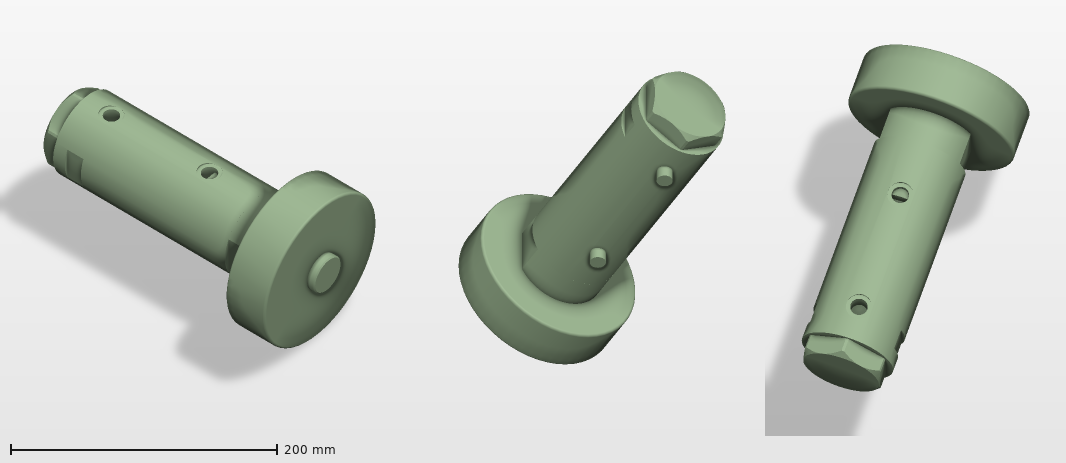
import cadquery as cq
import math


SLEEVE_RADIUS = 36.4
SLEEVE_START = 16.2
SLEEVE_END = 182.0
SLEEVE_FLAT_START = 26.0
SLEEVE_FLAT_END = 41.7
SLEEVE_FLAT_OFFSET = 33.3

FRONT_PORT_X = 41.5
REAR_PORT_X = 137.0
PORT_RADIUS = 6.5
SPOTFACE_RADIUS = 9.8
SPOTFACE_HEIGHT = math.sqrt(SLEEVE_RADIUS**2 - SPOTFACE_RADIUS**2)

SHAFT_RADIUS = 31.3
SHANK_RADIUS = 22.7
NECK_FLAT_OFFSET = 31.8
DISC_START = 207.3
DISC_END = 245.5
DISC_DIAMETER = 132.0
DISC_FILLET = 2.0
BOSS_RADIUS = 16.0
BOSS_END = 252.5
BOSS_CHAMFER = 1.0

HEAD_SIDES = 6
HEAD_ACROSS_FLATS = 60.0
HEAD_CORNER_RADIUS = 34.0
HEAD_LENGTH = 14.6

PIN_POSITIONS = [40.5, 146.0]
PIN_RADIUS = 6.0
PIN_BOTTOM = -45.5
PIN_TOP = -32.8


def rod(start, end, radius):
    """Cylinder along X between two positions."""
    return cq.Workplane("YZ", origin=(start, 0, 0)).circle(radius).extrude(end - start)


def post(x, bottom, top, radius):
    """Cylinder along Z at a position on the axis."""
    return cq.Workplane("XY", origin=(x, 0, bottom)).circle(radius).extrude(top - bottom)


def flat_cutters(start, end, offset):
    """Two blocks that cut flats facing -Y and +Y."""
    blocks = cq.Workplane("XY")
    for side in (-1, 1):
        block = cq.Workplane("XY").box(end - start, SLEEVE_RADIUS, 2 * SLEEVE_RADIUS)
        middle = (start + end) / 2
        blocks = blocks.add(block.translate((middle, side * (offset + SLEEVE_RADIUS / 2), 0)))
    return blocks.combine()


def make_pin(x):
    return post(x, PIN_BOTTOM, PIN_TOP, PIN_RADIUS)


def make_sleeve():
    sleeve = rod(SLEEVE_START, SLEEVE_END, SLEEVE_RADIUS)
    sleeve = sleeve.cut(flat_cutters(SLEEVE_FLAT_START, SLEEVE_FLAT_END, SLEEVE_FLAT_OFFSET))
    sleeve = sleeve.cut(rod(SLEEVE_START, REAR_PORT_X, SHANK_RADIUS))
    sleeve = sleeve.cut(rod(REAR_PORT_X, SLEEVE_END, SHAFT_RADIUS))
    for x in (FRONT_PORT_X, REAR_PORT_X):
        sleeve = sleeve.cut(post(x, 0, SLEEVE_RADIUS, PORT_RADIUS))
        sleeve = sleeve.cut(post(x, SPOTFACE_HEIGHT, SLEEVE_RADIUS, SPOTFACE_RADIUS))
    for x in PIN_POSITIONS:
        sleeve = sleeve.cut(make_pin(x))
    return sleeve


def make_spindle():
    neck = rod(SLEEVE_END, DISC_START, SLEEVE_RADIUS)
    neck = neck.cut(flat_cutters(SLEEVE_END, DISC_START, NECK_FLAT_OFFSET))
    disc = rod(DISC_START, DISC_END, DISC_DIAMETER / 2).edges().fillet(DISC_FILLET)
    boss = rod(DISC_END, BOSS_END, BOSS_RADIUS).faces(">X").chamfer(BOSS_CHAMFER)
    shank = rod(FRONT_PORT_X, REAR_PORT_X, SHANK_RADIUS)
    shaft = rod(REAR_PORT_X, SLEEVE_END, SHAFT_RADIUS)
    return shank.union(shaft).union(neck).union(disc).union(boss)


def make_plug():
    across_corners = HEAD_ACROSS_FLATS / math.cos(math.pi / HEAD_SIDES)
    head = cq.Workplane("YZ").polygon(HEAD_SIDES, across_corners).extrude(HEAD_LENGTH)
    head = head.rotate((0, 0, 0), (1, 0, 0), 90)
    bevel = HEAD_CORNER_RADIUS - HEAD_ACROSS_FLATS / 2
    blank = rod(0, HEAD_LENGTH, HEAD_CORNER_RADIUS).faces("<X").chamfer(bevel)
    head = head.intersect(blank)
    collar = rod(HEAD_LENGTH, SLEEVE_START, SLEEVE_RADIUS)
    shank = rod(SLEEVE_START, FRONT_PORT_X, SHANK_RADIUS)
    return head.union(collar).union(shank)


sleeve = make_sleeve()
spindle = make_spindle()
plug = make_plug()
pins = [make_pin(x) for x in PIN_POSITIONS]

result = cq.Compound.makeCompound(
    [sleeve.val(), spindle.val(), plug.val(), *[pin.val() for pin in pins]]
)